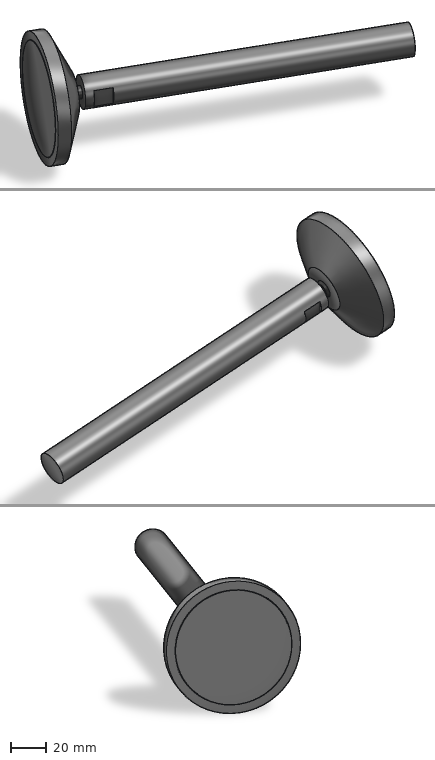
import cadquery as cq

TOTAL_LENGTH = 220.0

FOOT_DIAMETER = 78.0
FOOT_TOP_DIAMETER = 28.4
PAD_PROUD = 0.2
RIM_TOP_Y = 8.1
FOOT_TOP_Y = 20.0

PAD_DIAMETER = 67.5
RECESS_DIAMETER = 68.0
RECESS_DEPTH = 2.2

COLLAR_BASE_DIAMETER = 10.8
COLLAR_TOP_Y = 21.5
NECK_DIAMETER = 7.7
ROD_DIAMETER = 20.0
ROD_START_Y = 24.9

FLATS_WIDTH = 17.0
FLATS_START_Y = 30.1
FLATS_LENGTH = 11.5

RECESS_FLOOR_Y = PAD_PROUD + RECESS_DEPTH


def revolved_body():
    """Revolve the foot, collar, neck and rod about the Y axis as one shape."""
    outline = [
        (0, RECESS_FLOOR_Y),
        (RECESS_DIAMETER / 2, RECESS_FLOOR_Y),
        (RECESS_DIAMETER / 2, PAD_PROUD),
        (FOOT_DIAMETER / 2, PAD_PROUD),
        (FOOT_DIAMETER / 2, RIM_TOP_Y),
        (FOOT_TOP_DIAMETER / 2, FOOT_TOP_Y),
        (COLLAR_BASE_DIAMETER / 2, FOOT_TOP_Y),
        (NECK_DIAMETER / 2, COLLAR_TOP_Y),
        (NECK_DIAMETER / 2, ROD_START_Y),
        (ROD_DIAMETER / 2, ROD_START_Y),
        (ROD_DIAMETER / 2, TOTAL_LENGTH),
        (0, TOTAL_LENGTH),
    ]
    return cq.Workplane("XY").polyline(outline).close().revolve(360, (0, 0), (0, 1))


def flat_cutter(side):
    """Block that removes the rod beyond one wrench flat; side is -1 or +1 along X."""
    block_center_x = side * (FLATS_WIDTH + ROD_DIAMETER) / 2
    block_center_y = FLATS_START_Y + FLATS_LENGTH / 2
    block = cq.Workplane("XY").box(ROD_DIAMETER, FLATS_LENGTH, ROD_DIAMETER)
    return block.translate((block_center_x, block_center_y, 0))


def make_stemmed_foot():
    body = revolved_body()
    for side in (-1, 1):
        body = body.cut(flat_cutter(side))
    return body


def make_pad():
    """Disc that rests on the recess floor and stands slightly proud of the foot."""
    disc = cq.Workplane("XZ").circle(PAD_DIAMETER / 2)
    return disc.extrude(-RECESS_FLOOR_Y)


stemmed_foot = make_stemmed_foot()
pad = make_pad()

result = cq.Compound.makeCompound([stemmed_foot.val(), pad.val()])